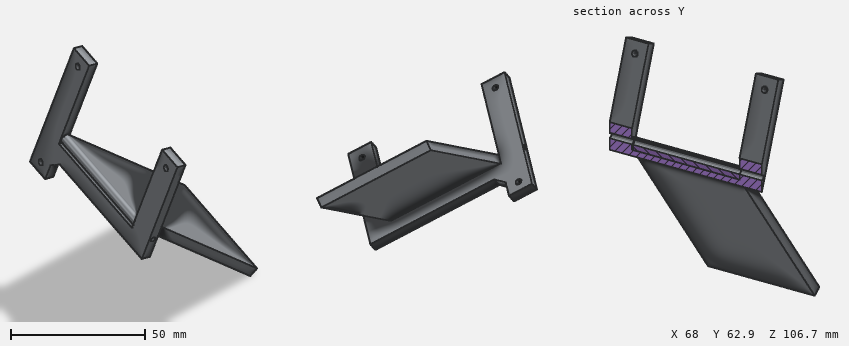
import cadquery as cq


thickness = 4.0
hinge_hole_diameter = 2.0
frame_tilt = 20.0
flap_tilt = 37.0

frame_width = 68.0
leg_width = 10.0
arm_length = 40.0
crossbar_height = 7.0
foot_length = 11.1
corner_chamfer = 4.1
hinge_above_crossbar = 2.5
mount_hole_diameter = 2.5
top_hole_inset = 5.0
foot_hole_inset = 4.2

half_width = frame_width / 2
gap_width = frame_width - 2 * leg_width
crossbar_top = -hinge_above_crossbar
crossbar_bottom = crossbar_top - crossbar_height
frame_top = crossbar_top + arm_length
frame_bottom = crossbar_bottom - foot_length

flap_side_clearance = 0.3
flap_width = gap_width - flap_side_clearance
flap_length = 87.1


def tilt(body, degrees):
    return body.rotate((0, 0, 0), (1, 0, 0), degrees)


def flap_slab(width):
    """Flat slab hanging from the hinge axis, flush with the right leg."""
    right_edge = gap_width / 2
    return (
        cq.Workplane("XY")
        .box(width, thickness, flap_length, centered=(False, True, False))
        .translate((right_edge - width, 0, -flap_length))
    )


def x_cylinder(diameter, x_start, length):
    return cq.Workplane("YZ").workplane(offset=x_start).circle(diameter / 2).extrude(length)


def hinge_hole():
    return x_cylinder(hinge_hole_diameter, -half_width, frame_width)


def frame_blank():
    inner = gap_width / 2
    outline = [
        (-half_width, frame_top),
        (-inner, frame_top),
        (-inner, crossbar_top),
        (inner, crossbar_top),
        (inner, frame_top),
        (half_width, frame_top),
        (half_width, crossbar_bottom),
        (-inner + corner_chamfer, crossbar_bottom),
        (-inner, crossbar_bottom - corner_chamfer),
        (-inner, frame_bottom),
        (-half_width, frame_bottom),
    ]
    return cq.Workplane("XZ").polyline(outline).close().extrude(thickness / 2, both=True)


def mount_holes():
    leg_center = half_width - leg_width / 2
    top_hole_height = frame_top - top_hole_inset
    centers = [
        (-leg_center, top_hole_height),
        (leg_center, top_hole_height),
        (-leg_center, frame_bottom + foot_hole_inset),
    ]
    return (
        cq.Workplane("XZ")
        .pushPoints(centers)
        .circle(mount_hole_diameter / 2)
        .extrude(thickness, both=True)
    )


def make_frame():
    frame = frame_blank().cut(mount_holes()).cut(hinge_hole())
    flap_relief = tilt(flap_slab(gap_width), flap_tilt)
    return tilt(frame, -frame_tilt).cut(flap_relief)


def make_flap():
    slab = flap_slab(flap_width)
    barrel = x_cylinder(thickness, gap_width / 2 - flap_width, flap_width)
    return tilt(slab.union(barrel).cut(hinge_hole()), flap_tilt)


frame = make_frame()
flap = make_flap()

result = cq.Compound.makeCompound([frame.solids().val(), flap.solids().val()])